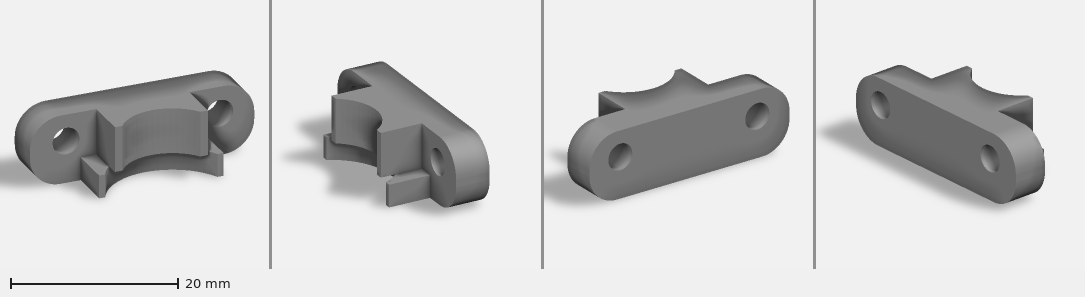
import cadquery as cq

plate_thickness = 4.6
plate_height = 9.0
plate_end_left = 14.71
plate_end_right = 14.5
corner_radius = 4.0

hole_diameter = 3.5
hole_spacing = 20.0
hole_height = 5.5

cradle_reach = 10.2
block_width = 12.1
foot_width = 16.2
foot_height = 3.0

bore_offset = 13.6
bore_radius = 6.1
counterbore_radius = 8.05
counterbore_height = 3.1

plan_angle = 45.0


def make_plate():
    """Plate along X with its back face on Y = 0 and its thickness toward -Y."""
    length = plate_end_left + plate_end_right
    middle = (plate_end_right - plate_end_left) / 2
    plate = (
        cq.Workplane("XY")
        .box(length, plate_thickness, plate_height)
        .edges("|Y")
        .fillet(corner_radius)
    )
    return plate.translate((middle, -plate_thickness / 2, plate_height / 2))


def make_cradle_box(width, height):
    """Box centred on X = 0, reaching from the plate's front face to the cradle tips."""
    box = cq.Workplane("XY").box(width, cradle_reach - plate_thickness, height)
    return box.translate((0, -(cradle_reach + plate_thickness) / 2, height / 2))


def make_bore(radius, height):
    """Vertical cylinder on the bore axis, rising from the bottom face."""
    return cq.Workplane("XY").center(0, -bore_offset).circle(radius).extrude(height)


def make_screw_holes():
    """Pair of round cutters running through the plate thickness."""
    half_spacing = hole_spacing / 2
    return (
        cq.Workplane("XZ")
        .pushPoints([(-half_spacing, hole_height), (half_spacing, hole_height)])
        .circle(hole_diameter / 2)
        .extrude(plate_thickness)
    )


body = make_plate()
body = body.union(make_cradle_box(block_width, plate_height))
body = body.union(make_cradle_box(foot_width, foot_height))
body = body.cut(make_bore(bore_radius, plate_height))
body = body.cut(make_bore(counterbore_radius, counterbore_height))
body = body.cut(make_screw_holes())

result = body.rotate((0, 0, 0), (0, 0, 1), plan_angle)